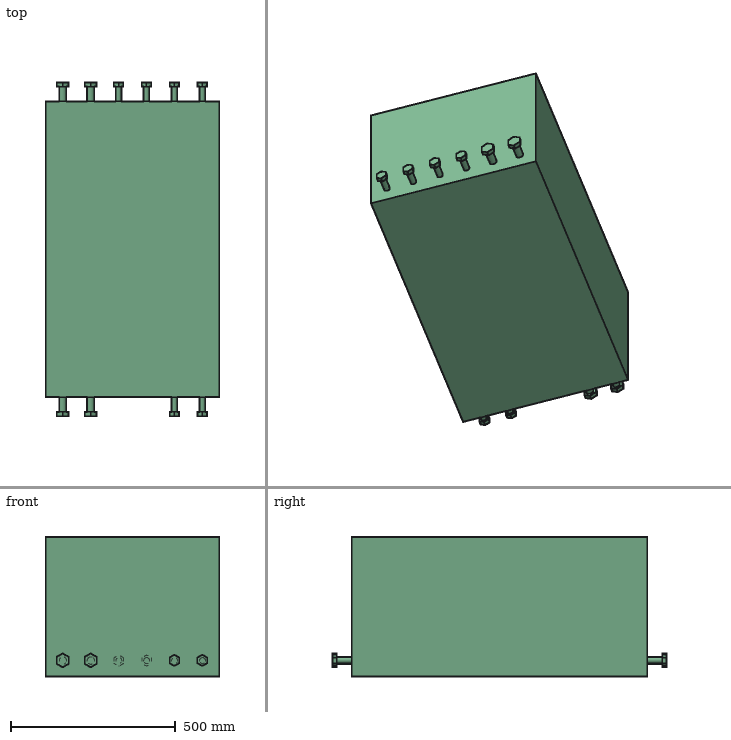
import cadquery as cq
import math

body_width = 528.0
body_height = 425.0
overall_length = 1015.0
connection_reach = 58.0
body_length = overall_length - 2 * connection_reach

nut_thickness = 13.0
large_stub_diameter = 22.0
large_nut_flats = 37.0
small_stub_diameter = 18.0
small_nut_flats = 29.0
large = (large_stub_diameter, large_nut_flats)
small = (small_stub_diameter, small_nut_flats)

row_height = 50.0
row_margin = 52.0
row_sizes = [large, large, small, small, small, small]
row_pitch = (body_width - 2 * row_margin) / (len(row_sizes) - 1)
front_positions = [0, 1, 4, 5]
back_positions = range(len(row_sizes))


def make_connection(position, side):
    """Connection at a row position; side is -1 for the front face and 1 for the back face."""
    stub_diameter, nut_flats = row_sizes[position]
    x = -body_width / 2 + row_margin + position * row_pitch
    face = cq.Plane(
        origin=(x, side * body_length / 2, row_height),
        xDir=(0, 0, 1),
        normal=(0, side, 0),
    )
    nut_corners = nut_flats / math.cos(math.pi / 6)
    stub = cq.Workplane(face).circle(stub_diameter / 2).extrude(connection_reach)
    nut = (
        cq.Workplane(face)
        .workplane(offset=connection_reach - nut_thickness)
        .polygon(6, nut_corners)
        .extrude(nut_thickness)
    )
    return stub.union(nut)


result = cq.Workplane("XY").box(body_width, body_length, body_height, centered=(True, True, False))

for position in front_positions:
    result = result.union(make_connection(position, -1))

for position in back_positions:
    result = result.union(make_connection(position, 1))